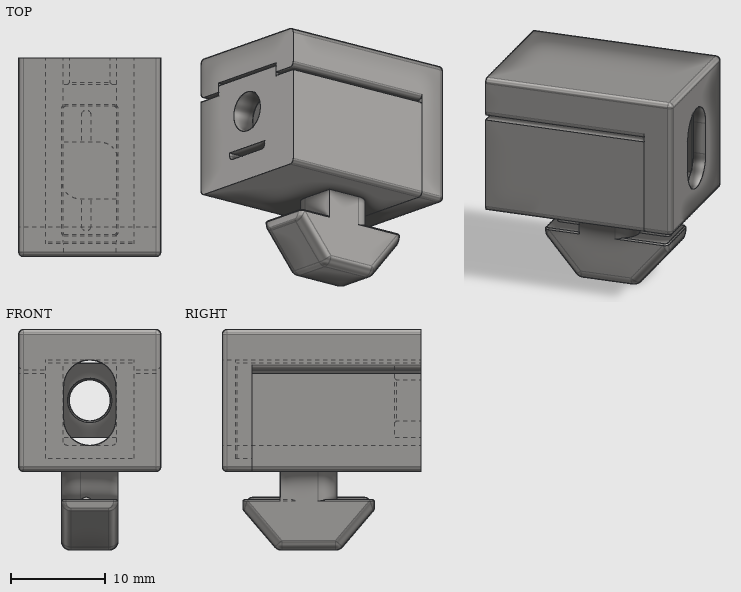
import cadquery as cq

BLOCK_WIDTH = 15.0
BLOCK_LENGTH = 21.0
BLOCK_HEIGHT = 15.0
EDGE_RADIUS = 0.51

COVER_FRONT_DEPTH = 3.15
COVER_FRONT_WALL = 1.37
COVER_SKIRT_BOTTOM = 10.75
SLOT_WIDTH = 5.5
SLOT_LENGTH = 9.0
SLOT_CENTER_Z = 7.27

BASE_SIDE_HEIGHT = 10.35
TONGUE_WIDTH = 9.32
TONGUE_FRONT_GAP = 0.19
TONGUE_BOTTOM = 1.4
TONGUE_TOP = 11.45
CHANNEL_WIDTH = 5.69
CHANNEL_FLOOR = 2.77
CHANNEL_RADIUS = 0.5
WEB_BOTTOM = 3.59
WEB_THICKNESS = 2.8
SCREW_HOLE_DIAMETER = 4.3
SCREW_HOLE_CHAMFER = 0.19

NUT_WIDTH = 6.0
NUT_CENTER_Y = 9.1
NUT_HEIGHT = 8.3
HEAD_HEIGHT = 5.35
HEAD_LENGTH = 13.89
HEAD_FOOT_LENGTH = 6.57
HEAD_END_HEIGHT = 1.07
HEAD_EDGE_RADIUS = 1.0
HEAD_END_RADIUS = 0.5
HEAD_RIM_CHAMFER = 0.16
STEM_CORNER_RADIUS = 2.0
BEAD_RADIUS = 0.65
BEAD_RISE = 0.23
BEAD_LENGTH = 11.75
BEAD_OFFSET_X = -0.37

SLOT_TOP = SLOT_CENTER_Z + SLOT_LENGTH / 2
TONGUE_FRONT = COVER_FRONT_WALL + TONGUE_FRONT_GAP
HEAD_TOP = HEAD_HEIGHT - NUT_HEIGHT


def box_between(width, y_range, z_range):
    """Box centred on X = 0 that spans the given Y and Z ranges."""
    size_y = y_range[1] - y_range[0]
    size_z = z_range[1] - z_range[0]
    return (
        cq.Workplane("XY")
        .box(width, size_y, size_z, centered=(True, False, False))
        .translate((0, y_range[0], z_range[0]))
    )


def make_cover():
    """Front block with a roof and short side walls, hollow to take the base's tongue."""
    cover = box_between(BLOCK_WIDTH, (0, BLOCK_LENGTH), (0, BLOCK_HEIGHT))
    cover = cover.edges("|Y or <Y").fillet(EDGE_RADIUS)

    room_for_base = box_between(
        BLOCK_WIDTH, (COVER_FRONT_DEPTH, BLOCK_LENGTH), (0, COVER_SKIRT_BOTTOM)
    )
    cover = cover.cut(room_for_base)
    skirt_y = (COVER_FRONT_DEPTH + BLOCK_LENGTH) / 2
    for side in (-1, 1):
        skirt_edge = cq.selectors.NearestToPointSelector(
            (side * BLOCK_WIDTH / 2, skirt_y, COVER_SKIRT_BOTTOM)
        )
        cover = cover.edges(skirt_edge).fillet(EDGE_RADIUS)

    cavity = box_between(TONGUE_WIDTH, (COVER_FRONT_WALL, BLOCK_LENGTH), (TONGUE_BOTTOM, SLOT_TOP))
    slot = (
        cq.Workplane("XZ")
        .center(0, SLOT_CENTER_Z)
        .slot2D(SLOT_LENGTH, SLOT_WIDTH, 90)
        .extrude(-COVER_FRONT_WALL)
    )
    return cover.cut(cavity).cut(slot)


def make_base():
    """Lower block with a hollow tongue that slides into the cover, and a web for the screw."""
    block = box_between(BLOCK_WIDTH, (COVER_FRONT_DEPTH, BLOCK_LENGTH), (0, BASE_SIDE_HEIGHT))
    block = block.edges("|Y and <Z").fillet(EDGE_RADIUS)
    tongue = box_between(TONGUE_WIDTH, (TONGUE_FRONT, BLOCK_LENGTH), (TONGUE_BOTTOM, TONGUE_TOP))
    channel = box_between(CHANNEL_WIDTH, (TONGUE_FRONT, BLOCK_LENGTH), (CHANNEL_FLOOR, TONGUE_TOP))
    channel = channel.edges("|Y and <Z").fillet(CHANNEL_RADIUS)
    return block.union(tongue).cut(channel).union(make_screw_web())


def make_screw_web():
    """Upright web across the back of the channel with the chamfered screw hole."""
    web_front = BLOCK_LENGTH - WEB_THICKNESS
    web = box_between(CHANNEL_WIDTH, (web_front, BLOCK_LENGTH), (WEB_BOTTOM, TONGUE_TOP))
    return (
        web.faces("<Y")
        .workplane(centerOption="CenterOfMass")
        .hole(SCREW_HOLE_DIAMETER)
        .faces("<Y")
        .edges("%CIRCLE")
        .chamfer(SCREW_HOLE_CHAMFER)
    )


def make_nut_head():
    """Head tapering to a short foot, with rounded sides and ends and a chamfered top rim."""
    half_top = HEAD_LENGTH / 2
    half_foot = HEAD_FOOT_LENGTH / 2
    taper_top = HEAD_TOP - HEAD_END_HEIGHT
    head = (
        cq.Workplane("YZ")
        .polyline(
            [
                (-half_top, 0),
                (-half_top, taper_top),
                (-half_foot, -NUT_HEIGHT),
                (half_foot, -NUT_HEIGHT),
                (half_top, taper_top),
                (half_top, 0),
            ]
        )
        .close()
        .extrude(NUT_WIDTH / 2, both=True)
    )
    head = head.edges("|X and <Z").fillet(HEAD_EDGE_RADIUS)
    head = head.faces("<X or >X").edges("not (|Z or >Z)").fillet(HEAD_EDGE_RADIUS)
    head = head.faces("<Y or >Y").edges("not >Z").fillet(HEAD_END_RADIUS)

    above_head = box_between(NUT_WIDTH, (-half_top, half_top), (HEAD_TOP, 0))
    return head.cut(above_head).faces(">Z").edges().chamfer(HEAD_RIM_CHAMFER)


def make_hammer_nut():
    """Hammer head, stem with two opposite round corners, and a raised bead on the head."""
    half_width = NUT_WIDTH / 2
    stem = box_between(NUT_WIDTH, (-half_width, half_width), (HEAD_TOP - HEAD_RIM_CHAMFER, 0))
    for corner in ("<X and <Y", ">X and >Y"):
        stem = stem.edges("|Z and " + corner).fillet(STEM_CORNER_RADIUS)

    bead = cq.Workplane("XZ").circle(BEAD_RADIUS).extrude(BEAD_LENGTH / 2, both=True)
    for end in (-1, 1):
        round_end = cq.Workplane("XY").sphere(BEAD_RADIUS).translate((0, end * BEAD_LENGTH / 2, 0))
        bead = bead.union(round_end)
    bead = bead.translate((BEAD_OFFSET_X, 0, HEAD_TOP + BEAD_RISE - BEAD_RADIUS))

    nut = make_nut_head().union(stem).union(bead)
    return nut.translate((0, NUT_CENTER_Y, 0))


cover = make_cover()
base = make_base()
hammer_nut = make_hammer_nut()

result = cq.Compound.makeCompound([cover.val(), base.val(), hammer_nut.val()])